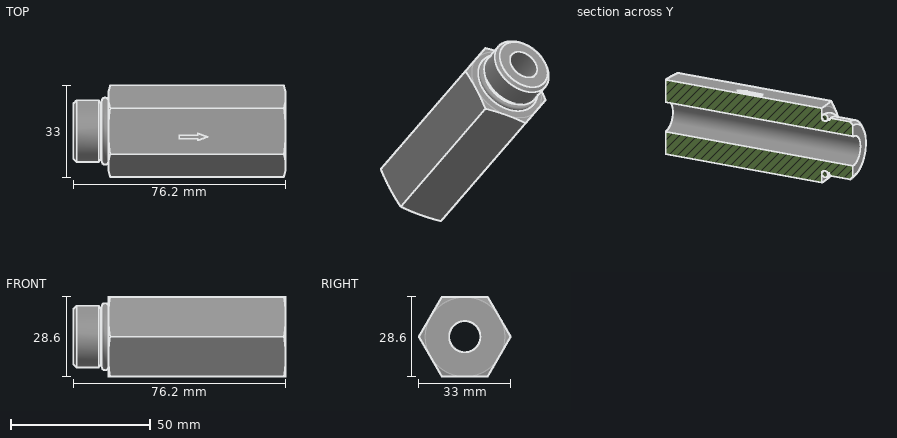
import cadquery as cq
import math

total_length = 76.2
hex_start = 12.7
hex_flats = 28.6
hex_corners = hex_flats / math.cos(math.radians(30))

hex_face_diameter = hex_flats
hex_chamfer_angle = 15.0

spigot_diameter = 22.25
spigot_tip_diameter = 19.65
tip_chamfer_length = 1.3
spigot_end = 9.2
groove_start = 9.9
groove_diameter = 20.3
bore_diameter = 11.1

ring_section = 2.45
ring_outer_diameter = 24.15
ring_center_radius = (ring_outer_diameter - ring_section) / 2
ring_center_x = hex_start - ring_section / 2

arrow_start = 38.1
arrow_neck = 44.7
arrow_tip = 48.2
arrow_center_y = -2.05
arrow_shaft_width = 1.2
arrow_head_width = 2.5
arrow_depth = 0.15


def revolve_about_x(profile):
    """Turn a closed (x, radius) profile about the X axis."""
    return profile.close().revolve(360, (0, 0, 0), (1, 0, 0))


def make_hexagon():
    """Hexagonal bar with two flats facing up and down and its end corners turned off."""
    bar = (
        cq.Workplane("YZ", origin=(hex_start, 0, 0))
        .polygon(6, hex_corners)
        .extrude(total_length - hex_start)
    )
    face_radius = hex_face_diameter / 2
    corner_radius = hex_corners / 2
    chamfer_length = (corner_radius - face_radius) * math.tan(math.radians(hex_chamfer_angle))
    envelope = revolve_about_x(
        cq.Workplane("XY")
        .moveTo(hex_start, 0)
        .lineTo(hex_start, face_radius)
        .lineTo(hex_start + chamfer_length, corner_radius)
        .lineTo(total_length - chamfer_length, corner_radius)
        .lineTo(total_length, face_radius)
        .lineTo(total_length, 0)
    )
    return bar.intersect(envelope)


def make_spigot():
    """Round spigot with a chamfered tip and a tapered shoulder down to the ring groove."""
    return revolve_about_x(
        cq.Workplane("XY")
        .lineTo(0, spigot_tip_diameter / 2)
        .lineTo(tip_chamfer_length, spigot_diameter / 2)
        .lineTo(spigot_end, spigot_diameter / 2)
        .lineTo(groove_start, groove_diameter / 2)
        .lineTo(hex_start, groove_diameter / 2)
        .lineTo(hex_start, 0)
    )


def make_arrow():
    """Flow arrow, pointing along +X, as a cutter reaching below the top flat."""
    half_shaft = arrow_shaft_width / 2
    half_head = arrow_head_width / 2
    return (
        cq.Workplane("XY", origin=(0, arrow_center_y, hex_flats / 2))
        .moveTo(arrow_start, -half_shaft)
        .lineTo(arrow_neck, -half_shaft)
        .lineTo(arrow_neck, -half_head)
        .lineTo(arrow_tip, 0)
        .lineTo(arrow_neck, half_head)
        .lineTo(arrow_neck, half_shaft)
        .lineTo(arrow_start, half_shaft)
        .close()
        .extrude(-arrow_depth)
    )


def make_seal_ring():
    """O-ring around the groove."""
    return (
        cq.Workplane("XY")
        .center(ring_center_x, ring_center_radius)
        .circle(ring_section / 2)
        .revolve(360, (0, -ring_center_radius, 0), (1, -ring_center_radius, 0))
    )


def make_housing(seal_ring):
    """Hexagon and spigot in one piece, bored through, with a rounded seat for the ring."""
    bore = cq.Workplane("YZ").circle(bore_diameter / 2).extrude(total_length)
    return make_hexagon().union(make_spigot()).cut(bore).cut(make_arrow()).cut(seal_ring)


seal_ring = make_seal_ring()
housing = make_housing(seal_ring)

result = cq.Compound.makeCompound([housing.val(), seal_ring.val()])